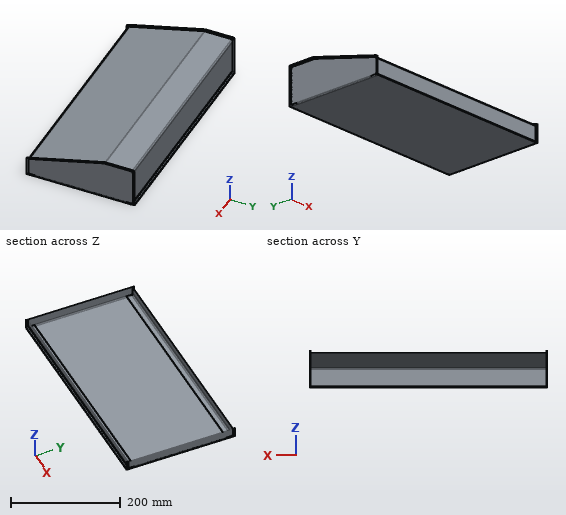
import cadquery as cq
import math

WIDTH = 435.0
DEPTH = 218.5
HEIGHT = 81.5

SLOPE_ANGLE = 15.0
BREAK_Y = 48.5
CHEEK_CORNER_RADIUS = 4.5

TRAY_SHEET = 2.0
TRAY_INNER_RADIUS = 1.4
TRAY_OUTER_RADIUS = 2.85

COVER_SHEET = 1.0
COVER_INNER_RADIUS = 2.0
COVER_OUTER_RADIUS = COVER_INNER_RADIUS + COVER_SHEET
COVER_INSET = 3.15
LIP_LENGTH = 13.0

FRONT_Y = -DEPTH / 2
BACK_Y = DEPTH / 2


def console_prism(length, inset, bottom):
    """Solid console profile centred on X, with all but its bottom face moved in by `inset`."""
    top = HEIGHT - inset
    front = FRONT_Y + inset
    back = BACK_Y - inset
    break_y = BREAK_Y - inset * math.tan(math.radians(SLOPE_ANGLE / 2))
    front_top = top - (break_y - front) * math.tan(math.radians(SLOPE_ANGLE))
    outline = [(front, bottom), (back, bottom), (back, top), (break_y, top), (front, front_top)]
    return cq.Workplane("YZ").polyline(outline).close().extrude(length / 2, both=True)


def round_bottom_block(width, bottom, radius):
    """Block as deep as the tray, standing at height `bottom`, with rounded lower end edges."""
    return (
        cq.Workplane("XY", origin=(0, 0, bottom))
        .box(width, DEPTH, HEIGHT, centered=(True, True, False))
        .edges("|Y and <Z")
        .fillet(radius)
    )


def make_tray_cavity():
    """Space between the cheeks and above the floor of the tray."""
    return round_bottom_block(WIDTH - 2 * TRAY_SHEET, TRAY_SHEET, TRAY_INNER_RADIUS)


def make_tray():
    """U-shaped sheet: a floor with a profiled cheek bent up at each end."""
    cheek_profile = (
        console_prism(WIDTH, 0, 0)
        .edges("|X and (not <Z)")
        .edges("<Y or >Y")
        .fillet(CHEEK_CORNER_RADIUS)
    )
    channel = round_bottom_block(WIDTH, 0, TRAY_OUTER_RADIUS).cut(make_tray_cavity())
    return channel.intersect(cheek_profile)


def make_cover():
    """Bent sheet closing the tray: back, top, slope, front and two folded lips."""
    inner_bottom = TRAY_SHEET + COVER_SHEET
    outside = console_prism(WIDTH, COVER_INSET, TRAY_SHEET).edges("|X").fillet(COVER_OUTER_RADIUS)
    inside = (
        console_prism(WIDTH, COVER_INSET + COVER_SHEET, inner_bottom)
        .edges("|X")
        .fillet(COVER_INNER_RADIUS)
    )
    opening_depth = DEPTH - 2 * (COVER_INSET + LIP_LENGTH)
    lip_opening = cq.Workplane("XY").box(WIDTH, opening_depth, 2 * inner_bottom)
    sheet = outside.cut(inside).cut(lip_opening)
    return sheet.intersect(make_tray_cavity())


tray = make_tray()
cover = make_cover()

result = cq.Compound.makeCompound([*tray.solids().vals(), *cover.solids().vals()])